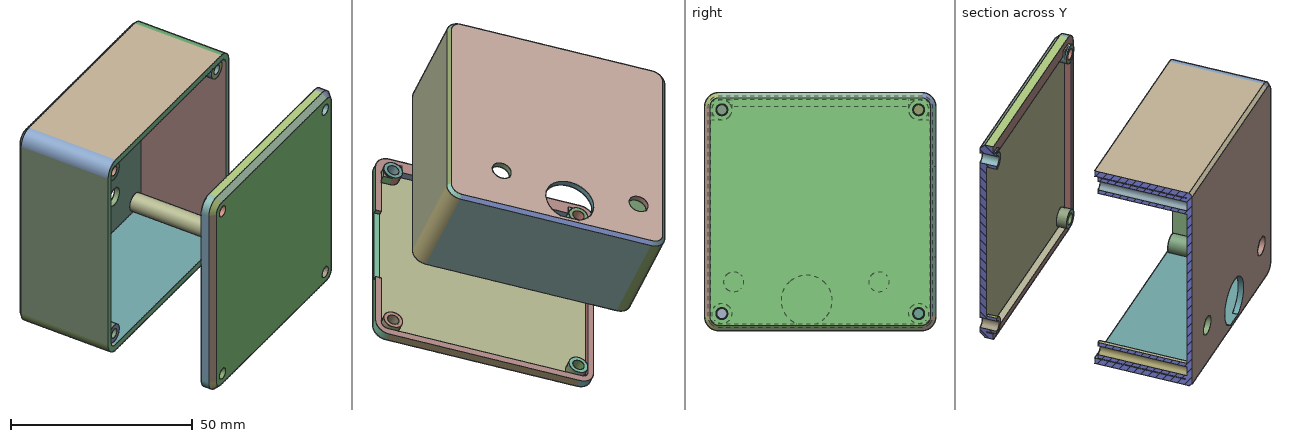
import cadquery as cq
import math

SIZE_X = 63.0
SIZE_Y = 63.7
SIZE_Z = 65.6
CORNER_RADIUS = 4.0
WALL = 1.65
FLOOR = 2.0

BOX_DEPTH = 29.0
BOX_CHAMFER = 1.0

SMALL_HOLE_DIAMETER = 5.5
SMALL_HOLE_Z = 13.5
SMALL_HOLE_YS = (-23.8, 16.15)
LARGE_HOLE_DIAMETER = 14.0
LARGE_HOLE_Y = -3.75
LARGE_HOLE_Z = 8.4

LID_THICKNESS = 4.0
LID_CHAMFER = 1.5
LID_POCKET_DEPTH = 2.05
LID_TOP_RIM = 3.95

POST_INSET = 4.8
POST_DIAMETER = 5.5
LID_POST_GAP = 2.1
LID_PAD_RISE = 0.5
LID_POST_RISE = 1.0
LID_HOLE_DIAMETER = 3.3
BOX_HOLE_DIAMETER = 2.8

NOTCH_DEPTH = 1.3
NOTCH_HEIGHT = 24.9

LID_X = SIZE_X - LID_THICKNESS
POST_YS = (-SIZE_Y / 2 + POST_INSET, SIZE_Y / 2 - POST_INSET)
LOWER_POST_CENTRES = [(y, POST_INSET) for y in POST_YS]
UPPER_POST_CENTRES = [(y, SIZE_Z - POST_INSET) for y in POST_YS]
POST_CENTRES = LOWER_POST_CENTRES + UPPER_POST_CENTRES


def rounded_block(x_start, x_end, side=0.0, bottom=0.0, top=0.0):
    """Block along X with rounded corners, set in from the outer sides by the given walls."""
    return (
        cq.Workplane("YZ", origin=(x_start, 0, (bottom + SIZE_Z - top) / 2))
        .rect(SIZE_Y - 2 * side, SIZE_Z - bottom - top)
        .extrude(x_end - x_start)
        .edges("|X")
        .fillet(CORNER_RADIUS - max(side, bottom))
    )


def rods(centres, diameter, x_start, x_end):
    """Round rods along X at the given (y, z) centres."""
    return (
        cq.Workplane("YZ", origin=(x_start, 0, 0))
        .pushPoints(centres)
        .circle(diameter / 2)
        .extrude(x_end - x_start)
    )


def make_box():
    shell = rounded_block(0, BOX_DEPTH).faces("<X").chamfer(BOX_CHAMFER)
    cavity = rounded_block(WALL, BOX_DEPTH, WALL, FLOOR, FLOOR)
    box = shell.cut(cavity)

    post_end = BOX_DEPTH - LID_POST_RISE
    posts = rods(POST_CENTRES, POST_DIAMETER, WALL, post_end).intersect(cavity)
    box = box.union(posts)
    box = box.cut(rods(POST_CENTRES, BOX_HOLE_DIAMETER, WALL, post_end))

    small_hole_centres = [(y, SMALL_HOLE_Z) for y in SMALL_HOLE_YS]
    box = box.cut(rods(small_hole_centres, SMALL_HOLE_DIAMETER, 0, WALL))
    large_hole = rods([(LARGE_HOLE_Y, LARGE_HOLE_Z)], LARGE_HOLE_DIAMETER, 0, WALL)
    return box.cut(large_hole.intersect(rounded_block(0, WALL, WALL, FLOOR, FLOOR)))


def upper_post_pad(y, z, x_start, x_end):
    """Leaf-shaped pad: the post's circle, squared off at two opposite corners beside the lid corner."""
    radius = POST_DIAMETER / 2
    out = math.copysign(radius, y)
    pad = rods([(y, z)], POST_DIAMETER, x_start, x_end)
    for dy, dz in ((out, -radius), (-out, radius)):
        corner = (
            cq.Workplane("YZ", origin=(x_start, y + dy / 2, z + dz / 2))
            .rect(radius, radius)
            .extrude(x_end - x_start)
        )
        pad = pad.union(corner)
    return pad


def make_lid():
    lid = rounded_block(LID_X, SIZE_X).faces(">X").chamfer(LID_CHAMFER)
    pocket_floor_x = LID_X + LID_POCKET_DEPTH
    lid = lid.cut(rounded_block(LID_X, pocket_floor_x, WALL, FLOOR, LID_TOP_RIM))

    notch = cq.Workplane("XY").box(NOTCH_DEPTH, WALL, NOTCH_HEIGHT)
    lid = lid.cut(notch.translate((LID_X + NOTCH_DEPTH / 2, (SIZE_Y - WALL) / 2, SIZE_Z / 2)))

    post_start = LID_X - LID_POST_RISE
    post_bounds = rounded_block(post_start, pocket_floor_x, LID_POST_GAP, LID_POST_GAP, LID_POST_GAP)
    lower_posts = rods(LOWER_POST_CENTRES, POST_DIAMETER, post_start, pocket_floor_x)
    lid = lid.union(lower_posts.intersect(post_bounds))
    lid = lid.union(rods(UPPER_POST_CENTRES, POST_DIAMETER, post_start, pocket_floor_x))
    for y, z in UPPER_POST_CENTRES:
        lid = lid.union(upper_post_pad(y, z, LID_X - LID_PAD_RISE, pocket_floor_x))
    return lid.cut(rods(POST_CENTRES, LID_HOLE_DIAMETER, post_start, SIZE_X))


box = make_box()
lid = make_lid()
result = cq.Compound.makeCompound([box.val(), lid.val()])